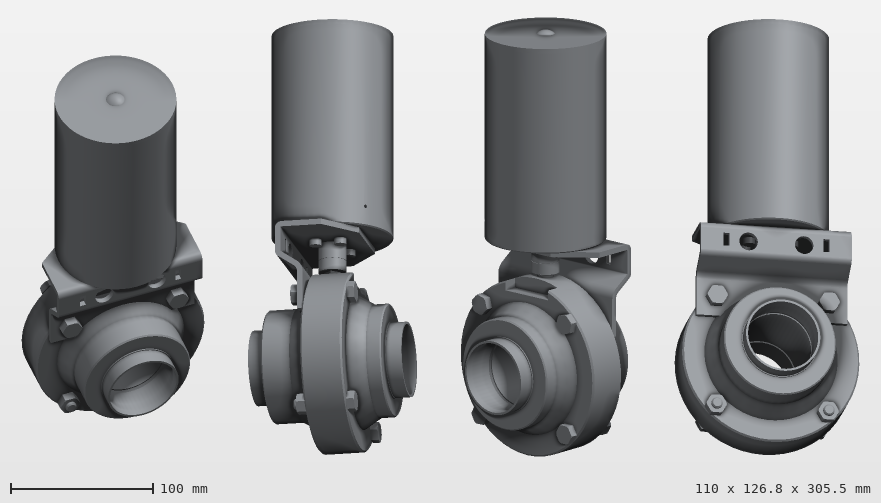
import cadquery as cq
import math


pipe_half_length = 55.0
pipe_dia = 53.0
bore_dia = 50.0
bore_groove_dia = 52.0
bore_groove_depth = 23.2
bore_groove_width = 3.5
weld_dia = 54.7
weld_length = 1.0
collar_dia = 80.0
collar_half_length = 43.0
collar_chamfer = 1.0
flange_dia = 126.8
flange_x_min = -20.0
flange_x_max = 10.0
flange_chamfer = 1.2
cone_dia = 95.3
cone_length = 12.5
notch_width = 40.0
notch_depth = 10.0
notch_floor_z = 53.0

bolt_offset = 40.0
bolt_dia = 8.0
bolt_end_x = 19.0
bolt_end_chamfer = 1.0
hex_flats = 13.0
hex_corners = hex_flats / math.cos(math.radians(30))
hex_chamfer = 0.5
head_height = 5.5
nut_height = 6.5
upper_head_turn = 15.0

bracket_thickness = 4.0
bracket_width = 107.8
plate_top_z = 90.7
plate_x_min = -24.7
plate_end_width = 54.0
plate_taper_x = -3.5
post_x = 26.0
post_bottom_z = 69.0
leg_x = flange_x_max
leg_bend_z = 58.3
leg_bottom_z = 26.3
inner_bend_radius = 1.0
leg_bend_radius = 5.5
round_hole_dia = 13.0
round_hole_y = 20.0
round_hole_z = 77.3
slot_width = 4.3
slot_height = 9.5
slot_y = 35.7
slot_z = 78.0
plate_bottom_z = plate_top_z - bracket_thickness

screw_head_dia = 8.5
screw_head_height = 4.3
screw_circle_radius = 17.7
screw_angles = (60, 120, 240, 300)

coupling_dia = 20.0
coupling_bottom_z = 66.5
groove_dia = 19.0
groove_width = 0.5
groove_z = 74.8
stem_dia = 12.0
stem_square = 8.5
stem_square_bottom_z = 64.8
stem_root_z = 58.0

total_height = 305.5
actuator_dia = 85.5
actuator_chamfer = 1.0
lid_bottom_z = 236.5
knob_base_dia = 13.0
knob_height = 2.5
knob_top_z = total_height - flange_dia / 2
lid_top_z = knob_top_z - knob_height
knob_radius = ((knob_base_dia / 2) ** 2 + knob_height**2) / (2 * knob_height)
vent_dia = 2.5
vent_depth = 4.5
vent_z = 104.8
vent_angle = 135.0


def rod(dia, bottom_z, top_z):
    """Vertical cylinder on the stem axis."""
    return cq.Workplane("XY").workplane(offset=bottom_z).circle(dia / 2).extrude(top_z - bottom_z)


def valve_body():
    profile = [
        (-pipe_half_length, 0),
        (-pipe_half_length, pipe_dia / 2),
        (-collar_half_length - weld_length, pipe_dia / 2),
        (-collar_half_length - weld_length, weld_dia / 2),
        (-collar_half_length, weld_dia / 2),
        (-collar_half_length, collar_dia / 2 - collar_chamfer),
        (-collar_half_length + collar_chamfer, collar_dia / 2),
        (flange_x_min - cone_length, collar_dia / 2),
        (flange_x_min, cone_dia / 2),
        (flange_x_min, flange_dia / 2 - flange_chamfer),
        (flange_x_min + flange_chamfer, flange_dia / 2),
        (flange_x_max - flange_chamfer, flange_dia / 2),
        (flange_x_max, flange_dia / 2 - flange_chamfer),
        (flange_x_max, cone_dia / 2),
        (flange_x_max + cone_length, collar_dia / 2),
        (collar_half_length - collar_chamfer, collar_dia / 2),
        (collar_half_length, collar_dia / 2 - collar_chamfer),
        (collar_half_length, weld_dia / 2),
        (collar_half_length + weld_length, weld_dia / 2),
        (collar_half_length + weld_length, pipe_dia / 2),
        (pipe_half_length, pipe_dia / 2),
        (pipe_half_length, 0),
    ]
    body = cq.Workplane("XZ").polyline(profile).close().revolve(360, (0, 0), (1, 0))
    notch = cq.Workplane("XY").box(
        notch_depth, notch_width, flange_dia / 2, centered=(False, True, False)
    )
    return body.cut(notch.translate((flange_x_min, 0, notch_floor_z)))


def flow_passage():
    """Straight bore with one shallow ring groove behind each pipe end."""
    passage = cq.Workplane("YZ").circle(bore_dia / 2).extrude(pipe_half_length, both=True)
    groove = cq.Workplane("YZ").circle(bore_groove_dia / 2).extrude(bore_groove_width)
    groove = groove.translate((bore_groove_depth - pipe_half_length, 0, 0))
    return passage.union(groove).union(groove.mirror("YZ"))


def hexagon(height, turn):
    """Hexagon along +X with a flat facing up before it is turned; its outer corners are chamfered."""
    prism = cq.Workplane("YZ").polygon(6, hex_corners).extrude(height)
    envelope = cq.Workplane("YZ").circle(hex_corners / 2).extrude(height).faces(">X").chamfer(hex_chamfer)
    return prism.intersect(envelope).rotate((0, 0, 0), (1, 0, 0), turn)


def flange_bolt(side_y, side_z):
    """Bolt with its head on the -X face and its nut on the flange or on the bracket leg."""
    is_upper = side_z > 0
    head_turn = side_y * upper_head_turn if is_upper else 0
    nut_x = leg_x + bracket_thickness if is_upper else flange_x_max
    head = hexagon(head_height, head_turn).mirror("YZ").translate((flange_x_min, 0, 0))
    nut = hexagon(nut_height, 0).translate((nut_x, 0, 0))
    shank = cq.Workplane("YZ").circle(bolt_dia / 2).extrude(bolt_end_x - flange_x_min)
    shank = shank.faces(">X").chamfer(bolt_end_chamfer).translate((flange_x_min, 0, 0))
    bolt = head.union(shank).union(nut)
    return bolt.translate((0, side_y * bolt_offset, side_z * bolt_offset))


def bracket():
    """Bent strip: plate under the actuator, post, sloping web, and leg on the flange."""
    slope_from_vertical = math.atan2(post_x - leg_x, post_bottom_z - leg_bend_z)
    bend_shift = bracket_thickness * math.tan(slope_from_vertical / 2)
    outer_post_x = post_x + bracket_thickness
    outer_leg_x = leg_x + bracket_thickness
    outer_post_z = post_bottom_z - bend_shift
    outer_leg_z = leg_bend_z - bend_shift
    outline = [
        (plate_x_min, plate_bottom_z),
        (post_x, plate_bottom_z),
        (post_x, post_bottom_z),
        (leg_x, leg_bend_z),
        (leg_x, leg_bottom_z),
        (outer_leg_x, leg_bottom_z),
        (outer_leg_x, outer_leg_z),
        (outer_post_x, outer_post_z),
        (outer_post_x, plate_top_z),
        (plate_x_min, plate_top_z),
    ]
    strip = cq.Workplane("XZ").polyline(outline).close().extrude(bracket_width / 2, both=True)

    outer_bend_radius = inner_bend_radius + bracket_thickness
    bends = [
        (post_x, plate_bottom_z, inner_bend_radius),
        (outer_post_x, plate_top_z, outer_bend_radius),
        (post_x, post_bottom_z, inner_bend_radius),
        (outer_post_x, outer_post_z, outer_bend_radius),
        (leg_x, leg_bend_z, leg_bend_radius + bracket_thickness),
        (outer_leg_x, outer_leg_z, leg_bend_radius),
    ]
    for x, z, radius in bends:
        strip = strip.edges(cq.selectors.NearestToPointSelector((x, 0, z))).fillet(radius)

    for side in (1, -1):
        corner = (
            cq.Workplane("XY")
            .workplane(offset=plate_bottom_z)
            .moveTo(plate_x_min, side * plate_end_width / 2)
            .lineTo(plate_taper_x, side * bracket_width / 2)
            .lineTo(plate_x_min, side * bracket_width / 2)
            .close()
            .extrude(bracket_thickness)
        )
        strip = strip.cut(corner)
    openings = (
        cq.Workplane("YZ")
        .workplane(offset=post_x)
        .pushPoints([(-round_hole_y, round_hole_z), (round_hole_y, round_hole_z)])
        .circle(round_hole_dia / 2)
        .pushPoints([(-slot_y, slot_z), (slot_y, slot_z)])
        .rect(slot_width, slot_height)
        .extrude(bracket_thickness)
    )
    return strip.cut(openings)


def bracket_screws():
    spots = [
        (
            screw_circle_radius * math.cos(math.radians(angle)),
            screw_circle_radius * math.sin(math.radians(angle)),
        )
        for angle in screw_angles
    ]
    plane = cq.Workplane("XY").workplane(offset=plate_bottom_z - screw_head_height)
    return plane.pushPoints(spots).circle(screw_head_dia / 2).extrude(screw_head_height)


def stem():
    """Round stem, a short square with its corners on the X and Y axes, and the coupling."""
    groove = rod(coupling_dia, groove_z - groove_width / 2, groove_z + groove_width / 2)
    groove = groove.cut(rod(groove_dia, groove_z - groove_width, groove_z + groove_width))
    coupling = rod(coupling_dia, coupling_bottom_z, plate_bottom_z).cut(groove)
    square = (
        cq.Workplane("XY")
        .workplane(offset=stem_square_bottom_z)
        .rect(stem_square, stem_square)
        .extrude(coupling_bottom_z - stem_square_bottom_z)
        .rotate((0, 0, 0), (0, 0, 1), 45)
    )
    return rod(stem_dia, stem_root_z, stem_square_bottom_z).union(square).union(coupling)


def actuator():
    barrel = rod(actuator_dia, plate_top_z, lid_bottom_z).faces("<Z").chamfer(actuator_chamfer)
    vent = (
        cq.Workplane("YZ")
        .circle(vent_dia / 2)
        .extrude(vent_depth)
        .translate((actuator_dia / 2 - vent_depth, 0, vent_z))
        .rotate((0, 0, 0), (0, 0, 1), vent_angle)
    )
    knob = (
        cq.Workplane("XZ")
        .moveTo(0, lid_top_z)
        .lineTo(knob_base_dia / 2, lid_top_z)
        .radiusArc((0, knob_top_z), -knob_radius)
        .close()
        .revolve(360, (0, 0), (0, 1))
    )
    lid = rod(actuator_dia, lid_bottom_z, lid_top_z).union(knob)
    return barrel.cut(vent).union(lid, clean=False)


result = valve_body().union(stem())
for side_y in (1, -1):
    for side_z in (1, -1):
        result = result.union(flange_bolt(side_y, side_z))
result = result.cut(flow_passage())
result = result.union(bracket()).union(bracket_screws())
result = result.union(actuator(), clean=False)